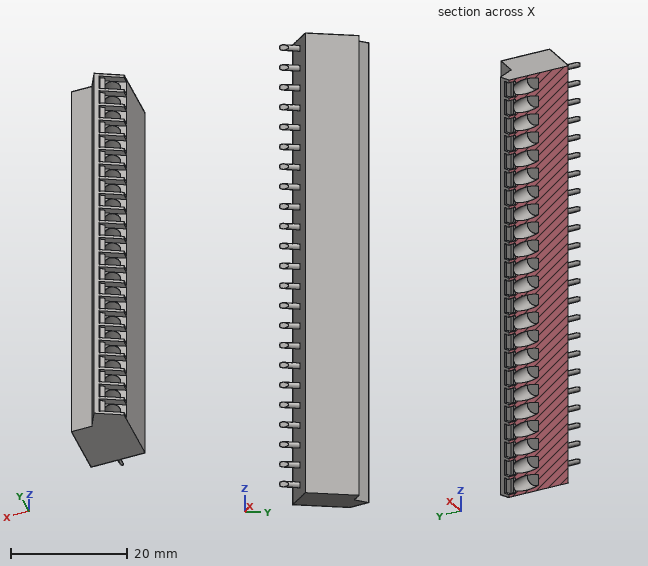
import cadquery as cq
import math


length = 81.1
width = 10.0
body_height = 12.4
pin_length = 3.5
pole_count = 23
wall = 0.6
pitch = (length - wall) / pole_count
left_x = -width / 2
right_x = width / 2

peak_x = -0.3
slope_drop = 2.3
ledge_x = 1.2
ledge_drop = 2.9
slope_angle = math.degrees(math.atan2(slope_drop, peak_x - left_x))
slope_length = math.hypot(slope_drop, peak_x - left_x)

pocket_start = 0.9
upper_lip_run = 0.12
lower_lip_run = 0.04
upper_lip_depth = 0.2
lip_depth = 0.4
landing_fall = 0.1
back_wall = 1.95
pocket_depth = 1.1
overshoot = 2.4

hole_diameter = 2.75
hole_depth = 4.05

pin_left_x = 0.365
pin_thickness = 0.53
pin_half_width = 0.52
pin_offset_z = 0.25
bevel_length = 1.5
tip_thickness = 0.105
pin_root = 0.4


def pole_center_z(index):
    return wall + (pitch - wall) / 2 + index * pitch


def make_body():
    outline = [
        (left_x, 0),
        (right_x, 0),
        (right_x, body_height - ledge_drop),
        (ledge_x, body_height - ledge_drop),
        (peak_x, body_height),
        (left_x, body_height - slope_drop),
    ]
    return cq.Workplane("XY").polyline(outline).close().extrude(length)


def make_entry():
    """Pocket and wire hole of one pole, centred on Z = 0."""
    far_end = slope_length + overshoot
    outline = [
        (pocket_start, -overshoot),
        (pocket_start, 0),
        (pocket_start + upper_lip_run, upper_lip_depth),
        (pocket_start + upper_lip_run + lower_lip_run, lip_depth),
        (back_wall, lip_depth + landing_fall),
        (back_wall, pocket_depth),
        (far_end, pocket_depth),
        (far_end, -overshoot),
    ]
    points = [(-along, -depth) for along, depth in outline]
    pocket = cq.Workplane("XY").polyline(points).close().extrude((pitch - wall) / 2, both=True)
    hole = (
        cq.Workplane("XZ", origin=(-back_wall - hole_diameter / 2, 0, 0))
        .circle(hole_diameter / 2)
        .extrude(pocket_depth + hole_depth)
    )
    entry = pocket.union(hole)
    return entry.rotate((0, 0, 0), (0, 0, 1), slope_angle).translate((peak_x, body_height, 0))


def make_pin():
    """One solder pin, centred on Z = 0."""
    middle_x = pin_left_x + pin_thickness / 2
    pin_right_x = pin_left_x + pin_thickness
    pin = (
        cq.Workplane("XZ", origin=(0, pin_root, 0))
        .moveTo(middle_x, -pin_half_width)
        .threePointArc((pin_left_x, 0), (middle_x, pin_half_width))
        .threePointArc((pin_right_x, 0), (middle_x, -pin_half_width))
        .close()
        .extrude(pin_root + pin_length)
    )
    bevel = (
        cq.Workplane("XY")
        .moveTo(pin_right_x, -pin_length + bevel_length)
        .lineTo(pin_left_x + tip_thickness, -pin_length)
        .lineTo(pin_right_x, -pin_length)
        .close()
        .extrude(pin_half_width, both=True)
    )
    return pin.cut(bevel)


def at_every_pole(shape, offset_z):
    solid = shape.val()
    copies = [solid.translate(cq.Vector(0, 0, pole_center_z(i) + offset_z)) for i in range(pole_count)]
    return cq.Workplane(cq.Compound.makeCompound(copies))


result = make_body()
result = result.cut(at_every_pole(make_entry(), 0))
result = result.union(at_every_pole(make_pin(), pin_offset_z))